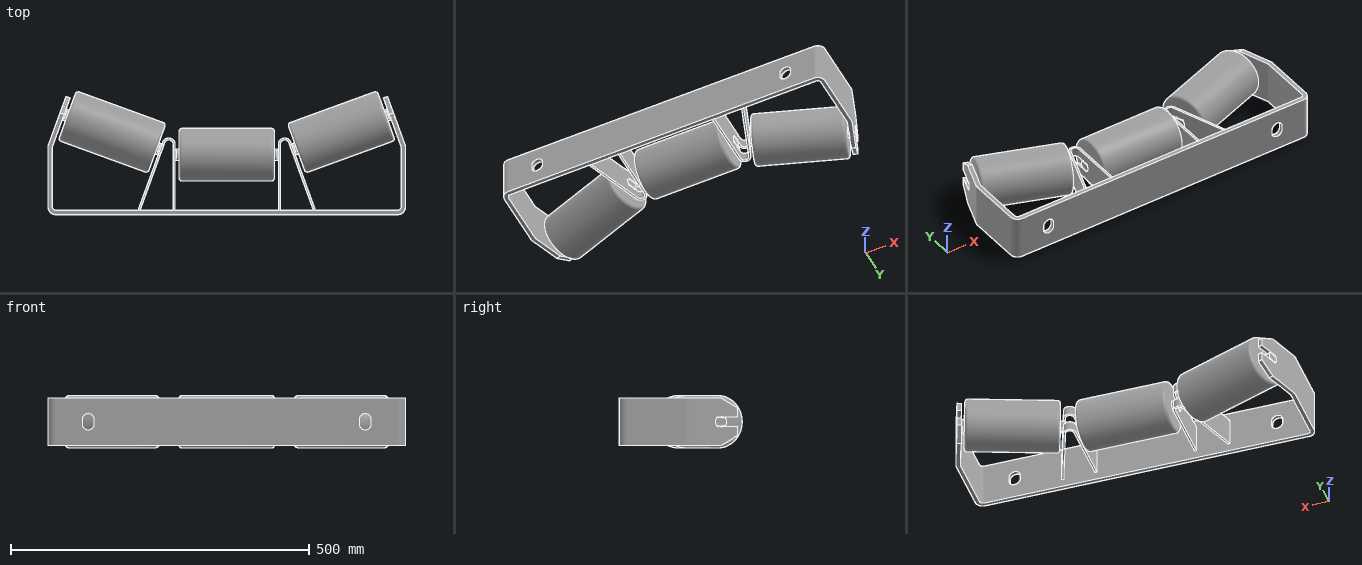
import cadquery as cq
import math


FRAME_LENGTH = 600.0
TROUGH_ANGLE = 20.0

FRAME_WIDTH = 80.5
FRAME_THICKNESS = 8.0
BEND_INNER_RADIUS = 6.0
BEND_OUTER_RADIUS = BEND_INNER_RADIUS + FRAME_THICKNESS
ARM_BEND_Y = 115.0
ARM_TIP_Y = 198.5
TIP_CHAMFER_LENGTH = 29.5
TIP_HALF_WIDTH = 23.5
MOUNT_SLOT_SPACING = 464.5
MOUNT_SLOT_LENGTH = 27.5
MOUNT_SLOT_WIDTH = 20.0

DIVIDER_WIDTH = 50.5
DIVIDER_THICKNESS = 3.5
DIVIDER_FACE_X = 86.5
HAIRPIN_RADIUS = 11.0
HAIRPIN_CENTRE_Y = 118.0

ROLLER_DIAMETER = 89.0
ROLLER_LENGTH = 160.0
ROLLER_EDGE_RADIUS = 5.5
SPINDLE_DIAMETER = 20.0
SPINDLE_ACROSS_FLATS = 14.0
FLAT_CLEARANCE = 2.5
SPINDLE_SLOT_WIDTH = 16.0
MIDDLE_ROLLER_Y = 101.0
SIDE_ROLLER_HEIGHT = 65.0

TILT = math.radians(TROUGH_ANGLE)
COS = math.cos(TILT)
SIN = math.sin(TILT)

HAIRPIN_CENTRE_X = DIVIDER_FACE_X + HAIRPIN_RADIUS
TILTED_LEG_FACE = HAIRPIN_CENTRE_X * COS + HAIRPIN_CENTRE_Y * SIN + HAIRPIN_RADIUS
ARM_OUTER_FACE = FRAME_LENGTH / 2 * COS + ARM_BEND_Y * SIN
ARM_INNER_FACE = ARM_OUTER_FACE - FRAME_THICKNESS
SIDE_ROLLER_AXIAL = (TILTED_LEG_FACE + ARM_INNER_FACE) / 2

ARM_LENGTH = (ARM_TIP_Y - ARM_BEND_Y) / COS
ARM_TIP_HEIGHT = ARM_LENGTH + ARM_BEND_Y * COS - FRAME_LENGTH / 2 * SIN

SIDE_GAP_REACH = (ARM_INNER_FACE - TILTED_LEG_FACE) / 2


def place_at_side(local, side):
    """Move a body from roller coordinates (axis on X) to the right (+1) or left (-1) roller."""
    placed = local.translate((SIDE_ROLLER_AXIAL, SIDE_ROLLER_HEIGHT, 0))
    placed = placed.rotate((0, 0, 0), (0, 0, 1), TROUGH_ANGLE)
    return placed if side > 0 else placed.mirror("YZ")


def place_at_middle(local, side):
    """Move a body from roller coordinates to the middle roller, facing its right or left end."""
    placed = local.translate((0, MIDDLE_ROLLER_Y, 0))
    return placed if side > 0 else placed.mirror("YZ")


def spindle_slot(start, end):
    """Open slot for a spindle in roller coordinates, cut along X from start to end."""
    half_width = SPINDLE_SLOT_WIDTH / 2
    radius = SPINDLE_DIAMETER / 2
    arc_start = -math.sqrt(radius**2 - half_width**2)
    mouth = ROLLER_DIAMETER
    return (
        cq.Workplane("YZ", origin=(start, 0, 0))
        .moveTo(arc_start, half_width)
        .threePointArc((-radius, 0), (arc_start, -half_width))
        .lineTo(mouth, -half_width)
        .lineTo(mouth, half_width)
        .close()
        .extrude(end - start)
    )


def frame_sheet():
    """Sheet bent into a base, two uprights and two arms tilted inward."""
    half = FRAME_LENGTH / 2
    inner = half - FRAME_THICKNESS
    tip = (half - ARM_LENGTH * SIN, ARM_TIP_Y)
    inner_tip = (tip[0] - FRAME_THICKNESS * COS, tip[1] - FRAME_THICKNESS * SIN)
    outer_corners = [(half, 0), (half, ARM_BEND_Y)]
    inner_corners = [
        (inner, ARM_BEND_Y - FRAME_THICKNESS * math.tan(TILT / 2)),
        (inner, FRAME_THICKNESS),
    ]
    right = [*outer_corners, tip, inner_tip, *inner_corners]
    left = [(-x, y) for x, y in reversed(right)]
    sheet = cq.Workplane("XY").polyline(right + left).close().extrude(FRAME_WIDTH / 2, both=True)
    for corners, radius in ((outer_corners, BEND_OUTER_RADIUS), (inner_corners, BEND_INNER_RADIUS)):
        for x, y in corners:
            for side in (-1, 1):
                corner_edge = cq.selectors.NearestToPointSelector((side * x, y, 0))
                sheet = sheet.edges("|Z").edges(corner_edge).fillet(radius)
    return sheet


def tip_chamfer(end):
    """Wedge off the upper (+1) or lower (-1) corner of an arm tip, in roller coordinates."""
    edge_z = end * FRAME_WIDTH / 2
    tip_height = ARM_TIP_HEIGHT - SIDE_ROLLER_HEIGHT
    return (
        cq.Workplane("YZ", origin=(SIDE_GAP_REACH, 0, 0))
        .polyline([
            (tip_height - TIP_CHAMFER_LENGTH, edge_z),
            (tip_height, end * TIP_HALF_WIDTH),
            (tip_height, edge_z),
        ])
        .close()
        .extrude(FRAME_THICKNESS)
    )


def make_frame():
    """Bent sheet with tapered, slotted arm tips and two mounting slots in the base."""
    frame = frame_sheet()
    arm_slot = spindle_slot(SIDE_GAP_REACH, SIDE_GAP_REACH + FRAME_THICKNESS)
    for side in (-1, 1):
        frame = frame.cut(place_at_side(arm_slot, side))
        for end in (-1, 1):
            frame = frame.cut(place_at_side(tip_chamfer(end), side))
    mount_slots = (
        cq.Workplane("XZ")
        .pushPoints([(-MOUNT_SLOT_SPACING / 2, 0), (MOUNT_SLOT_SPACING / 2, 0)])
        .slot2D(MOUNT_SLOT_LENGTH, MOUNT_SLOT_WIDTH, 90)
        .extrude(-FRAME_THICKNESS)
    )
    return frame.cut(mount_slots)


def make_divider(side):
    """Hairpin strip with an upright and a tilted leg, standing on the frame's base."""
    inner_radius = HAIRPIN_RADIUS - DIVIDER_THICKNESS

    def at(radius, degrees):
        angle = math.radians(degrees)
        x = HAIRPIN_CENTRE_X + radius * math.cos(angle)
        y = HAIRPIN_CENTRE_Y + radius * math.sin(angle)
        return (x, y)

    def tilted_foot(radius):
        x, y = at(radius, TROUGH_ANGLE)
        return (x + (y - FRAME_THICKNESS) * math.tan(TILT), FRAME_THICKNESS)

    arc_middle = (180 + TROUGH_ANGLE) / 2
    divider = (
        cq.Workplane("XY")
        .moveTo(DIVIDER_FACE_X, FRAME_THICKNESS)
        .lineTo(*at(HAIRPIN_RADIUS, 180))
        .threePointArc(at(HAIRPIN_RADIUS, arc_middle), at(HAIRPIN_RADIUS, TROUGH_ANGLE))
        .lineTo(*tilted_foot(HAIRPIN_RADIUS))
        .lineTo(*tilted_foot(inner_radius))
        .lineTo(*at(inner_radius, TROUGH_ANGLE))
        .threePointArc(at(inner_radius, arc_middle), at(inner_radius, 180))
        .lineTo(DIVIDER_FACE_X + DIVIDER_THICKNESS, FRAME_THICKNESS)
        .close()
        .extrude(DIVIDER_WIDTH / 2, both=True)
    )
    if side < 0:
        divider = divider.mirror("YZ")

    upright_slot = spindle_slot(DIVIDER_FACE_X, HAIRPIN_CENTRE_X)
    tilted_slot = spindle_slot(-SIDE_GAP_REACH - HAIRPIN_RADIUS, -SIDE_GAP_REACH)
    divider = divider.cut(place_at_middle(upright_slot, side))
    return divider.cut(place_at_side(tilted_slot, side))


def spindle_end(reach, plate_thickness):
    """Half spindle along +X, flattened where it sits in a plate, flush with the far face."""
    tip = reach + plate_thickness
    flat_start = reach - FLAT_CLEARANCE
    flat_length = tip - flat_start
    half_spindle = cq.Workplane("YZ").circle(SPINDLE_DIAMETER / 2).extrude(tip)
    for end in (-1, 1):
        waste_height = SPINDLE_DIAMETER / 2
        waste_z = end * (SPINDLE_ACROSS_FLATS + waste_height) / 2
        waste = cq.Workplane("XY").box(flat_length, SPINDLE_DIAMETER, waste_height)
        half_spindle = half_spindle.cut(waste.translate((flat_start + flat_length / 2, 0, waste_z)))
    return half_spindle


def make_roller(reach, left_plate, right_plate):
    """Roller shell and spindle as one body, axis on X, centred between its two plates."""
    shell = (
        cq.Workplane("YZ", origin=(-ROLLER_LENGTH / 2, 0, 0))
        .circle(ROLLER_DIAMETER / 2)
        .extrude(ROLLER_LENGTH)
        .edges()
        .fillet(ROLLER_EDGE_RADIUS)
    )
    right_end = spindle_end(reach, right_plate)
    left_end = spindle_end(reach, left_plate).mirror("YZ")
    return shell.union(right_end).union(left_end)


frame = make_frame()
dividers = [make_divider(side) for side in (-1, 1)]
middle_roller = place_at_middle(make_roller(DIVIDER_FACE_X, DIVIDER_THICKNESS, DIVIDER_THICKNESS), 1)
side_roller = make_roller(SIDE_GAP_REACH, DIVIDER_THICKNESS, FRAME_THICKNESS)
side_rollers = [place_at_side(side_roller, side) for side in (-1, 1)]

result = cq.Compound.makeCompound([
    frame.val(),
    *[divider.val() for divider in dividers],
    middle_roller.val(),
    *[roller.val() for roller in side_rollers],
])